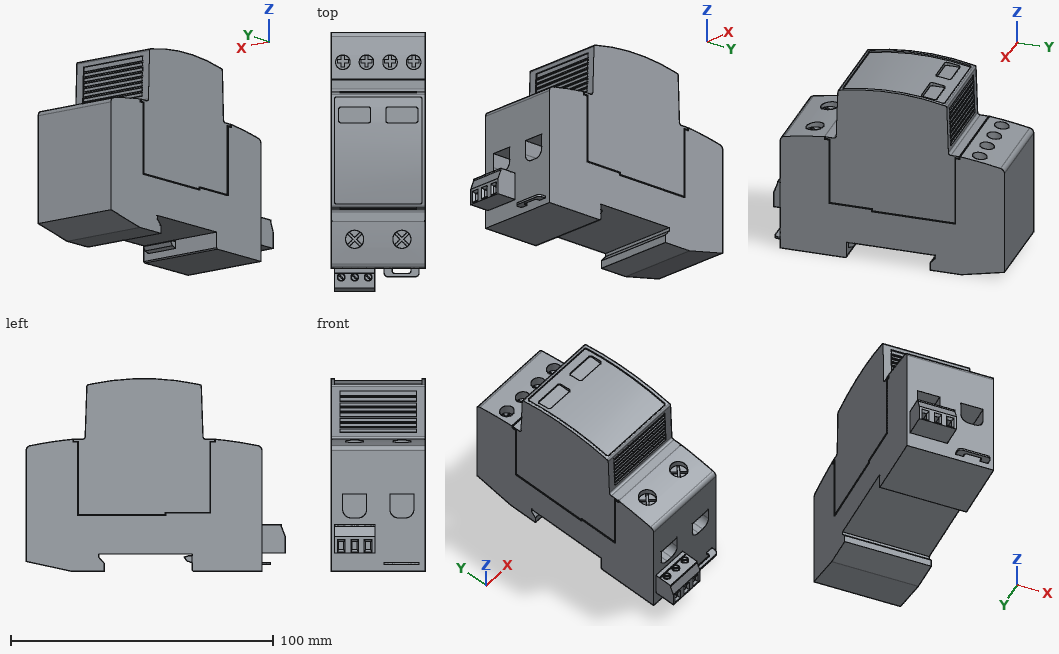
import cadquery as cq


width = 36.0
depth = 89.9
side_x = width / 2
centre_y = depth / 2
shoulder_z = 50.4
corner_z = 47.6
shoulder_bulge = 0.25
shoulder_radius = 2.0
shoulder_step = 27.2

notch_front_y = 26.7
notch_back_y = 62.1
notch_z = 6.6
lip_y = 60.1
lip_bottom_z = 3.1
lip_top_z = 5.3
notch_chamfer = 0.5
rear_slope_y = 72.6
rear_slope_z = 3.8

head_foot = 22.5
head_top = 21.8
head_edge_z = 71.0
head_z = 73.5
foot_radius = 1.0
head_radius = 0.8

panel_width = 33.3
panel_front_y = 24.5
panel_back_y = 65.3
panel_depth = 0.6
panel_radius = 0.7
window_count = 2
window_pitch = 18.0
window_width = 12.3
window_front_y = 55.4
window_back_y = 61.5
window_floor_z = 70.9
window_radius = 0.9

louvre_width = 29.2
louvre_bottom_z = 52.9
louvre_top_z = 68.8
louvre_pitch = 2.0
louvre_count = 8
louvre_depth = 0.5
slat_height = 0.5
slat_slope_rise = 0.3

groove_width = 0.3
groove_depth = 0.3
module_front_y = 19.8
module_back_y = 70.1
module_step_y = 36.8
module_front_z = 22.3
module_back_z = 21.4
flange_z = 49.4
flange_half = 27.0

pole_count = 2
pole_pitch = 18.0
front_screw_y = 11.1
front_screw_radius = 3.5
front_screw_z = 47.4
front_slot_width = 1.0
rear_screw_pitch = 9.0
rear_screw_count = 4
rear_screw_y = 78.5
rear_screw_radius = 2.8
rear_screw_z = 45.0
rear_cross_offset = 0.4
rear_cross_length = 4.2
rear_slot_width = 1.3
slot_depth = 1.0
entry_width = 9.2
entry_bottom_z = 20.4
entry_top_z = 29.4
entry_radius = 3.4
entry_depth = 14.8

connector_x = -9.0
connector_width = 15.4
connector_bottom_z = 6.9
connector_top_z = 17.8
connector_reach = 8.9
connector_top_reach = 7.4
connector_edge_z = 17.1
connector_bend_z = 13.2
contact_pitch = 5.1
contact_count = 3
contact_screw_y = -3.4
contact_hole_radius = 1.5
contact_screw_radius = 1.3
contact_recess = 0.5
contact_slot_width = 0.4
contact_slot_depth = 0.3
back_groove_y = -1.8
back_groove_width = 0.2
back_groove_length = 14.4
socket_z = 9.8
socket_width = 3.0
socket_height = 4.6
socket_inner_width = 1.9
socket_inner_height = 3.1
socket_funnel = 1.0
socket_depth = 4.9

clip_x = 8.9
clip_width = 13.4
clip_reach = 3.3
clip_bottom_z = 2.6
clip_thickness = 0.8
clip_radius = 1.6
clip_embed = 2.0
loop_width = 7.0
loop_reach = 1.9
loop_radius = 0.8
hook_bottom_z = 3.3
hook_top_z = 6.0
hook_knee = (28.7, 4.0)
hook_tip = (29.7, 5.4)
hook_crest_y = 27.9


def row(count, pitch, middle=0):
    """Evenly pitched positions about a middle."""
    return [middle + (i - (count - 1) / 2) * pitch for i in range(count)]


def slab(outline, x_min, x_max):
    """Extrude a closed YZ outline between two X planes."""
    return cq.Workplane("YZ", origin=(x_min, 0, 0)).polyline(outline).close().extrude(x_max - x_min)


def box(x_size, y_size, z_size, x, y, z_bottom):
    """Box centred at x, y that stands on z_bottom."""
    block = cq.Workplane("XY").box(x_size, y_size, z_size, centered=(True, True, False))
    return block.translate((x, y, z_bottom))


def fillet_near(body, radius, places):
    """Round the crosswise edge nearest to each (y, z) place."""
    for y, z in places:
        nearest = cq.selectors.NearestToPointSelector((0, y, z))
        body = body.edges("|X").edges(nearest).fillet(radius)
    return body


def make_base():
    flat_front = centre_y - shoulder_step
    flat_back = centre_y + shoulder_step
    bulge_z = (corner_z + shoulder_z) / 2 + shoulder_bulge
    base = (
        cq.Workplane("YZ", origin=(-side_x, 0, 0))
        .moveTo(0, 0)
        .lineTo(notch_front_y - notch_chamfer, 0)
        .lineTo(notch_front_y, notch_chamfer)
        .lineTo(notch_front_y, notch_z)
        .lineTo(notch_back_y, notch_z)
        .lineTo(notch_back_y, lip_top_z)
        .lineTo(lip_y, lip_bottom_z)
        .lineTo(lip_y, 0)
        .lineTo(rear_slope_y, 0)
        .lineTo(depth, rear_slope_z)
        .lineTo(depth, corner_z)
        .threePointArc(((depth + flat_back) / 2, bulge_z), (flat_back, shoulder_z))
        .lineTo(flat_front, shoulder_z)
        .threePointArc((flat_front / 2, bulge_z), (0, corner_z))
        .close()
        .extrude(width)
    )
    return fillet_near(base, shoulder_radius, [(0, corner_z), (depth, corner_z)])


def head_profile(drop=0):
    """Arched head standing on the base, optionally lowered."""
    return (
        cq.Workplane("YZ", origin=(-side_x, 0, -drop))
        .moveTo(centre_y - head_foot, shoulder_z)
        .lineTo(centre_y - head_top, head_edge_z)
        .threePointArc((centre_y, head_z), (centre_y + head_top, head_edge_z))
        .lineTo(centre_y + head_foot, shoulder_z)
        .close()
        .extrude(width)
    )


def make_housing():
    front_top = centre_y - head_top
    back_top = centre_y + head_top
    head = fillet_near(head_profile(), head_radius, [(front_top, head_edge_z), (back_top, head_edge_z)])
    front_foot = centre_y - head_foot
    back_foot = centre_y + head_foot
    housing = make_base().union(head)
    return fillet_near(housing, foot_radius, [(front_foot, shoulder_z), (back_foot, shoulder_z)])


def panel_cut():
    length = panel_back_y - panel_front_y
    middle_y = (panel_back_y + panel_front_y) / 2
    panel = box(panel_width, length, head_z, 0, middle_y, shoulder_z).edges("|Z").fillet(panel_radius)
    cut = panel.cut(head_profile(panel_depth))
    window_length = window_back_y - window_front_y
    window_y = (window_back_y + window_front_y) / 2
    for x in row(window_count, window_pitch):
        window = box(window_width, window_length, head_z, x, window_y, window_floor_z)
        cut = cut.union(window.edges("|Z").fillet(window_radius))
    return cut


def wall_y(z):
    """Y of the drafted front wall of the head at height z."""
    slope = (head_foot - head_top) / (head_edge_z - shoulder_z)
    return centre_y - head_foot + slope * (z - shoulder_z)


def wall_strip(z_bottom, z_top_outer, z_top_inner):
    """Strip along the front wall, from its surface to the louvre depth, with a flat or sloped top."""
    outline = [
        (wall_y(z_bottom), z_bottom),
        (wall_y(z_bottom) + louvre_depth, z_bottom),
        (wall_y(z_top_inner) + louvre_depth, z_top_inner),
        (wall_y(z_top_outer), z_top_outer),
    ]
    return slab(outline, -louvre_width / 2, louvre_width / 2)


def louvre_cut():
    """Recessed grille crossed by slats whose tops rise inward; the lowest slope is the sill."""
    cut = wall_strip(louvre_bottom_z, louvre_top_z, louvre_top_z)
    for i in range(louvre_count):
        edge_z = louvre_bottom_z + i * louvre_pitch
        cut = cut.cut(wall_strip(edge_z - slat_height, edge_z, edge_z + slat_slope_rise))
    return cut.union(cut.mirror("XZ", (0, centre_y, 0)))


def module_outline(grow):
    """Side outline of the plug-in module; grow widens it all round."""
    front = module_front_y - grow
    back = module_back_y + grow
    flange_front = centre_y - flange_half - grow
    flange_back = centre_y + flange_half + grow
    return [
        (flange_front, head_z),
        (flange_front, flange_z - grow),
        (front, flange_z - grow),
        (front, module_front_z - grow),
        (module_step_y - grow, module_front_z - grow),
        (module_step_y - grow, module_back_z - grow),
        (back, module_back_z - grow),
        (back, flange_z - grow),
        (flange_back, flange_z - grow),
        (flange_back, head_z),
    ]


def parting_groove():
    """Shallow seam round the module on both sides, carried across the top at the rear only."""
    half = groove_width / 2
    groove = slab(module_outline(half), -side_x, side_x).cut(slab(module_outline(-half), -side_x, side_x))
    groove = groove.cut(box(width - 2 * groove_depth, depth, head_z, 0, centre_y, 0))
    rear_y = centre_y + flange_half
    rear_gap = box(width, groove_width, groove_depth, 0, rear_y, shoulder_z - groove_depth)
    return groove.union(rear_gap)


def cross_slots(length, slot_width, x, y, z_top, angle):
    bar = box(length, slot_width, slot_depth, 0, 0, 0)
    cross = bar.union(bar.rotate((0, 0, 0), (0, 0, 1), 90))
    return cross.rotate((0, 0, 0), (0, 0, 1), angle).translate((x, y, z_top - slot_depth))


def screw_shaft(radius, x, y, z_bottom):
    return cq.Workplane("XY", origin=(x, y, z_bottom)).circle(radius).extrude(shoulder_z - z_bottom)


def terminal_cuts():
    cuts = cq.Workplane("XY")
    entry_height = entry_top_z - entry_bottom_z
    for x in row(pole_count, pole_pitch):
        cuts = cuts.union(screw_shaft(front_screw_radius, x, front_screw_y, front_screw_z))
        slots = cross_slots(
            2 * front_screw_radius, front_slot_width, x, front_screw_y, front_screw_z, 45
        )
        cuts = cuts.union(slots)
        entry = box(entry_width, entry_depth, entry_height, x, entry_depth / 2, entry_bottom_z)
        cuts = cuts.union(entry.edges("|Y and <Z").fillet(entry_radius))
    for x in row(rear_screw_count, rear_screw_pitch):
        cuts = cuts.union(screw_shaft(rear_screw_radius, x, rear_screw_y, rear_screw_z))
        cross_y = rear_screw_y + rear_cross_offset
        cuts = cuts.union(cross_slots(rear_cross_length, rear_slot_width, x, cross_y, rear_screw_z, 0))
    return cuts


def socket_cut(x):
    """Wire opening: a rectangular funnel leading into a smaller straight pocket."""
    funnel = (
        cq.Workplane("XZ", origin=(x, -connector_reach, socket_z))
        .rect(socket_width, socket_height)
        .workplane(offset=-socket_funnel)
        .rect(socket_inner_width, socket_inner_height)
        .loft(combine=True)
    )
    pocket = box(
        socket_inner_width, socket_depth, socket_inner_height,
        x, socket_depth / 2 - connector_reach, socket_z - socket_inner_height / 2,
    )
    return funnel.union(pocket)


def contact_screw_cut(x):
    """Sunk screw head with a diagonal driver slot in a ring-shaped gap."""
    floor_z = connector_top_z - contact_recess
    ring = (
        cq.Workplane("XY", origin=(x, contact_screw_y, floor_z))
        .circle(contact_hole_radius)
        .circle(contact_screw_radius)
        .extrude(contact_recess)
    )
    slot = (
        box(2 * contact_screw_radius, contact_slot_width, contact_slot_depth, 0, 0, 0)
        .rotate((0, 0, 0), (0, 0, 1), -45)
        .translate((x, contact_screw_y, connector_top_z - contact_slot_depth))
    )
    return ring.union(slot)


def make_connector():
    outline = [
        (0, connector_bottom_z),
        (-connector_reach, connector_bottom_z),
        (-connector_reach, connector_bend_z),
        (-connector_top_reach, connector_edge_z),
        (-connector_top_reach, connector_top_z),
        (0, connector_top_z),
    ]
    half = connector_width / 2
    connector = slab(outline, connector_x - half, connector_x + half)
    groove_bottom = connector_top_z - contact_recess
    connector = connector.cut(
        box(back_groove_length, back_groove_width, contact_recess, connector_x, back_groove_y, groove_bottom)
    )
    for x in row(contact_count, contact_pitch, connector_x):
        connector = connector.cut(socket_cut(x)).cut(contact_screw_cut(x))
    return connector


def make_clip():
    loop = box(
        clip_width, clip_reach + clip_embed, clip_thickness,
        clip_x, (clip_embed - clip_reach) / 2, clip_bottom_z,
    )
    loop = loop.edges("|Z and <Y").fillet(clip_radius)
    opening = box(loop_width, loop_reach, clip_thickness, clip_x, -loop_reach / 2, clip_bottom_z)
    loop = loop.cut(opening.edges("|Z and <Y").fillet(loop_radius))
    hook_outline = [
        (notch_front_y, hook_bottom_z),
        hook_knee,
        hook_tip,
        (hook_crest_y, hook_top_z),
        (notch_front_y, hook_top_z),
    ]
    hook = slab(hook_outline, clip_x - clip_width / 2, clip_x + clip_width / 2)
    return loop.union(hook)


result = make_housing()
for cut in (panel_cut(), louvre_cut(), parting_groove(), terminal_cuts()):
    result = result.cut(cut)
result = result.union(make_connector()).union(make_clip())